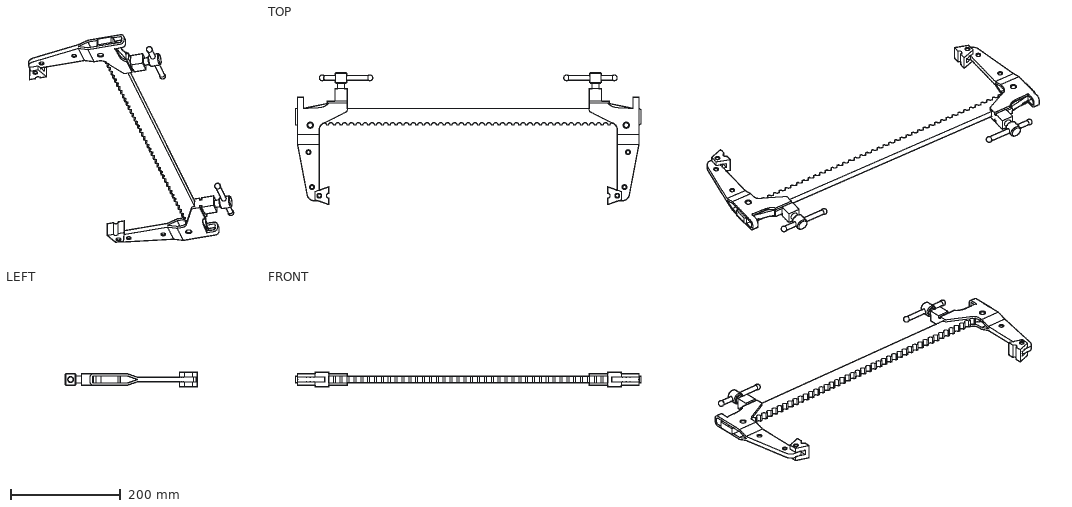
import cadquery as cq
import math


BAR_LENGTH = 630.0
BAR_HEIGHT = 31.0
BAR_THICKNESS = 12.5
BAR_END_CHAMFER = 3.0
NOTCH_RADIUS = 4.5
NOTCHES_PER_SIDE = 23
LOCK_PIN_X = -288.0
NOTCH_PITCH = -LOCK_PIN_X / NOTCHES_PER_SIDE

SHEET = 4.5
ARM_THICKNESS = BAR_THICKNESS + 2 * SHEET
ARM_LEFT = -311.0
ARM_INNER = -271.5
TAB_WIDTH = 11.5
TAB_TOP = 20.0
TAB_BEND_RADIUS = 7.0
SHOULDER_TOP = 9.5
SHOULDER_RIGHT = -220.5
SHOULDER_BOTTOM = -5.5
SHOULDER_FILLET = 4.0
SADDLE_Y = -0.5
SADDLE_CURVE = [(-282.0, 0.5), (-261.5, 4.0), (-254.5, SHOULDER_TOP)]
BRACE_ANGLE = 27.0
BRACE_FILLET = 12.5
NECK_TOP = -48.0
NECK_BOTTOM = -66.0
TAPER_END_X = -292.0
TIP_FILLET = 14.0

NUT_WIDTH = 22.5
NUT_TOP = 36.0
NUT_BOTTOM = 13.0
NUT_X = SHOULDER_RIGHT - NUT_WIDTH / 2
FILLER_STEP_X = -257.0
FILLER_SLOPE_TOP = 9.0

PIVOT_Y = -159.5
LUG_RADIUS = 9.5
PAD_LEFT = -279.0
PAD_RIGHT = -254.0
PAD_HALF_BACK = 7.5
PAD_HALF_FRONT = 16.5
PAD_THICKNESS = 26.5
PAD_SLOT_FLOOR = -261.0
PAD_GROOVE_RADIUS = 4.5
PIVOT_PIN_RADIUS = 2.5
TIP_Y = PIVOT_Y - LUG_RADIUS

LOCK_DIMPLE_RADIUS = 5.5
RIVET_DIMPLE_RADIUS = 4.5
ARM_DIMPLES = [
    (LOCK_PIN_X, -BAR_HEIGHT, LOCK_DIMPLE_RADIUS),
    (-291.0, -80.0, RIVET_DIMPLE_RADIUS),
    (-285.0, -143.5, RIVET_DIMPLE_RADIUS),
]
DIMPLE_DEPTH = 1.0

SCREW_TOP = 65.5
SCREW_HEAD_LENGTH = 20.0
SCREW_HEAD_DIAMETER = 21.5
SCREW_HEAD_CHAMFER = 2.0
SCREW_DIAMETER = 13.0
HANDLE_Y = SCREW_TOP - SCREW_HEAD_LENGTH / 2
HANDLE_DIAMETER = 9.0
HANDLE_BALL_DIAMETER = 11.0
HANDLE_LEFT = -271.5
HANDLE_RIGHT = -174.0


def plate(outline, thickness):
    """Extrude an XY outline symmetrically about the mid plane."""
    return outline.extrude(thickness).translate((0, 0, -thickness / 2))


def disc(x, y, radius, thickness):
    return plate(cq.Workplane("XY").center(x, y).circle(radius), thickness)


def dimple_pair(x, y, radius, thickness):
    """Conical countersinks in both faces of a plate of the given thickness."""
    face = thickness / 2
    cone = (
        cq.Workplane("XY", origin=(x, y, face))
        .circle(radius)
        .extrude(-DIMPLE_DEPTH, taper=45)
    )
    return cone.union(cone.mirror("XY"))


def round_corner(solid, x, y, radius):
    """Fillet the upright edge of a plate nearest to the point (x, y)."""
    corner = cq.selectors.NearestToPointSelector((x, y, 0))
    return solid.edges("|Z").edges(corner).fillet(radius)


def make_bar():
    half = BAR_LENGTH / 2
    outline = cq.Workplane("XY").polyline([
        (-half, -BAR_HEIGHT), (half, -BAR_HEIGHT), (half, 0), (-half, 0),
    ]).close()
    bar = plate(outline, BAR_THICKNESS)
    bar = bar.edges("|Z and >X").chamfer(BAR_END_CHAMFER)
    notch_centres = [
        (i * NOTCH_PITCH, -BAR_HEIGHT) for i in range(-NOTCHES_PER_SIDE, NOTCHES_PER_SIDE + 1)
    ]
    notches = plate(cq.Workplane("XY").pushPoints(notch_centres).circle(NOTCH_RADIUS), BAR_THICKNESS)
    return bar.cut(notches)


def arm_plan():
    """Flat outline of the arm, extruded to its full thickness."""
    brace_drop = (SHOULDER_RIGHT - ARM_INNER) * math.tan(math.radians(BRACE_ANGLE))
    brace_foot = (ARM_INNER, SHOULDER_BOTTOM - brace_drop)
    plan = plate(
        cq.Workplane("XY")
        .moveTo(ARM_LEFT, TAB_TOP)
        .lineTo(ARM_LEFT + TAB_WIDTH, TAB_TOP)
        .lineTo(ARM_LEFT + TAB_WIDTH, SADDLE_Y)
        .spline(SADDLE_CURVE, includeCurrent=True)
        .lineTo(SHOULDER_RIGHT, SHOULDER_TOP)
        .lineTo(SHOULDER_RIGHT, SHOULDER_BOTTOM)
        .lineTo(*brace_foot)
        .lineTo(ARM_INNER, TIP_Y)
        .lineTo(TAPER_END_X, TIP_Y)
        .lineTo(ARM_LEFT, NECK_BOTTOM)
        .close(),
        ARM_THICKNESS,
    )
    plan = round_corner(plan, SHOULDER_RIGHT, SHOULDER_BOTTOM, SHOULDER_FILLET)
    plan = round_corner(plan, *brace_foot, BRACE_FILLET)
    plan = round_corner(plan, TAPER_END_X, TIP_Y, TIP_FILLET)
    return plan.union(disc(ARM_INNER, PIVOT_Y, LUG_RADIUS, ARM_THICKNESS))


def fold_section():
    """Side section of the folded sheet: a loop at the top that closes into a double layer."""
    outer_z = ARM_THICKNESS / 2
    gap_z = BAR_THICKNESS / 2
    length = SHOULDER_RIGHT - ARM_LEFT
    plane = cq.Workplane("YZ", origin=(ARM_LEFT, 0, 0))
    outer = (
        plane.polyline([
            (TAB_TOP, -outer_z), (TAB_TOP, outer_z), (NECK_TOP, outer_z), (NECK_BOTTOM, SHEET),
            (TIP_Y, SHEET), (TIP_Y, -SHEET), (NECK_BOTTOM, -SHEET), (NECK_TOP, -outer_z),
        ])
        .close()
        .extrude(length)
        .edges("|X and >Y")
        .fillet(TAB_BEND_RADIUS)
    )
    cavity = (
        plane.polyline([
            (TAB_TOP - SHEET, -gap_z), (TAB_TOP - SHEET, gap_z), (NECK_TOP, gap_z),
            (NECK_BOTTOM, 0), (NECK_TOP, -gap_z),
        ])
        .close()
        .extrude(length)
        .edges("|X and >Y")
        .fillet(TAB_BEND_RADIUS - SHEET)
    )
    return outer.cut(cavity)


def screw_shaft():
    """Plain shaft from the underside of the head to the foot of the nut block."""
    shaft_top = SCREW_TOP - SCREW_HEAD_LENGTH
    plane = cq.Workplane("XZ", origin=(NUT_X, shaft_top, 0))
    return plane.circle(SCREW_DIAMETER / 2).extrude(shaft_top - NUT_BOTTOM)


def make_arm():
    arm = arm_plan().intersect(fold_section())

    filler = plate(
        cq.Workplane("XY").polyline([
            (ARM_LEFT + TAB_WIDTH, 0), (FILLER_STEP_X, FILLER_SLOPE_TOP), (FILLER_STEP_X, NUT_BOTTOM),
            (SHOULDER_RIGHT, NUT_BOTTOM), (SHOULDER_RIGHT, 0),
        ]).close(),
        BAR_THICKNESS,
    )
    nut_centre_y = (NUT_TOP + NUT_BOTTOM) / 2
    nut = cq.Workplane("XY").box(NUT_WIDTH, NUT_TOP - NUT_BOTTOM, ARM_THICKNESS)
    nut = nut.translate((NUT_X, nut_centre_y, 0))
    lock_pin = disc(LOCK_PIN_X, -BAR_HEIGHT, NOTCH_RADIUS, BAR_THICKNESS)
    arm = arm.union(filler).union(nut).union(lock_pin)

    arm = arm.cut(screw_shaft())
    arm = arm.cut(disc(ARM_INNER, PIVOT_Y, PIVOT_PIN_RADIUS, ARM_THICKNESS))
    for x, y, radius in ARM_DIMPLES:
        thickness = 2 * SHEET if y < NECK_BOTTOM else ARM_THICKNESS
        arm = arm.cut(dimple_pair(x, y, radius, thickness))
    return arm


def handle_rod():
    """Rod between the centres of the two end balls."""
    start = HANDLE_LEFT + HANDLE_BALL_DIAMETER / 2
    length = HANDLE_RIGHT - HANDLE_LEFT - HANDLE_BALL_DIAMETER
    return cq.Workplane("YZ", origin=(start, HANDLE_Y, 0)).circle(HANDLE_DIAMETER / 2).extrude(length)


def make_screw():
    head = (
        cq.Workplane("XZ", origin=(NUT_X, SCREW_TOP, 0))
        .circle(SCREW_HEAD_DIAMETER / 2)
        .extrude(SCREW_HEAD_LENGTH)
        .edges()
        .chamfer(SCREW_HEAD_CHAMFER)
    )
    return head.union(screw_shaft()).cut(handle_rod())


def make_handle():
    ball_radius = HANDLE_BALL_DIAMETER / 2
    handle = handle_rod()
    for x in (HANDLE_LEFT + ball_radius, HANDLE_RIGHT - ball_radius):
        handle = handle.union(cq.Workplane("XY").sphere(ball_radius).translate((x, HANDLE_Y, 0)))
    return handle


def make_pad():
    pad = plate(
        cq.Workplane("XY").polyline([
            (PAD_LEFT, PIVOT_Y + PAD_HALF_BACK), (PAD_RIGHT, PIVOT_Y + PAD_HALF_FRONT),
            (PAD_RIGHT, PIVOT_Y - PAD_HALF_FRONT), (PAD_LEFT, PIVOT_Y - PAD_HALF_BACK),
        ]).close(),
        PAD_THICKNESS,
    )
    pad = pad.cut(disc(PAD_RIGHT, PIVOT_Y, PAD_GROOVE_RADIUS, PAD_THICKNESS))
    slot_length = PAD_SLOT_FLOOR - PAD_LEFT
    slot = cq.Workplane("XY").box(slot_length, 2 * PAD_HALF_FRONT, 2 * SHEET)
    pad = pad.cut(slot.translate((PAD_LEFT + slot_length / 2, PIVOT_Y, 0)))
    pad = pad.union(disc(ARM_INNER, PIVOT_Y, PIVOT_PIN_RADIUS, 2 * SHEET))
    return pad.cut(dimple_pair(ARM_INNER, PIVOT_Y, RIVET_DIMPLE_RADIUS, PAD_THICKNESS))


bodies = [make_bar().val()]
for body in (make_arm(), make_screw(), make_handle(), make_pad()):
    bodies.append(body.val())
    bodies.append(body.mirror("YZ").val())

result = cq.Compound.makeCompound(bodies)